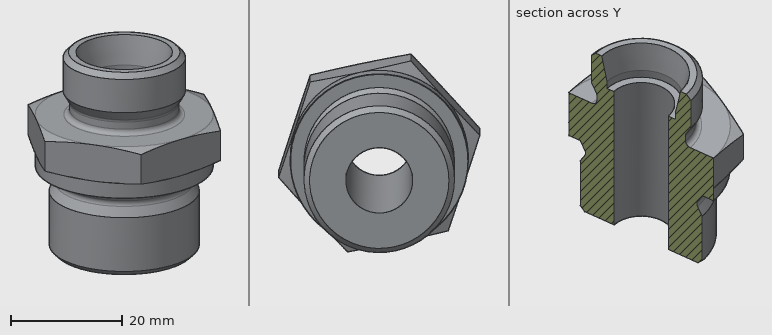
import cadquery as cq
import math

TOTAL_HEIGHT = 38.0
STUD_THREAD_TOP_Z = 11.35
COLLAR_BOTTOM_Z = 16.0
HEX_BOTTOM_Z = 19.0
HEX_TOP_Z = 26.0
TUBE_THREAD_BOTTOM_Z = 30.6

STUD_DIAMETER = 27.0
STUD_RELIEF_FILLET = 1.1
END_CHAMFER = 1.0

HEX_SIDES = 6
ACROSS_FLATS = 32.0
COLLAR_EDGE_CHAMFER = 0.1
HEX_CHAMFER_ANGLE = math.radians(15)

TUBE_END_DIAMETER = 22.0
NECK_DIAMETER = 19.7
NECK_FILLET = 1.0

RUNOUT_ANGLE = math.radians(30)

BORE_DIAMETER = 12.0
SOCKET_DIAMETER = 15.0
SOCKET_DEPTH = 7.0
CONE_MOUTH_DIAMETER = 17.3
CONE_HALF_ANGLE = math.radians(12)


def cylinder(diameter, bottom_z, top_z):
    return cq.Workplane("XY").workplane(offset=bottom_z).circle(diameter / 2).extrude(top_z - bottom_z)


def revolve_profile(profile):
    """Revolve a closed half-profile, drawn as (radius, z), about the Z axis."""
    return profile.close().revolve(360, (0, 0, 0), (0, 1, 0))


def stud_end():
    """Lower threaded end with its V-shaped relief, rounded at the root."""
    radius = STUD_DIAMETER / 2
    half_width = (COLLAR_BOTTOM_Z - STUD_THREAD_TOP_Z) / 2
    middle_z = STUD_THREAD_TOP_Z + half_width
    sharp_root_radius = radius - half_width * math.tan(RUNOUT_ANGLE)
    arc_center_radius = sharp_root_radius + STUD_RELIEF_FILLET / math.cos(RUNOUT_ANGLE)
    root_radius = arc_center_radius - STUD_RELIEF_FILLET
    tangent_radius = arc_center_radius - STUD_RELIEF_FILLET * math.cos(RUNOUT_ANGLE)
    tangent_rise = STUD_RELIEF_FILLET * math.sin(RUNOUT_ANGLE)
    return revolve_profile(
        cq.Workplane("XZ")
        .moveTo(0, 0)
        .lineTo(radius - END_CHAMFER, 0)
        .lineTo(radius, END_CHAMFER)
        .lineTo(radius, STUD_THREAD_TOP_Z)
        .lineTo(tangent_radius, middle_z - tangent_rise)
        .threePointArc((root_radius, middle_z), (tangent_radius, middle_z + tangent_rise))
        .lineTo(radius, COLLAR_BOTTOM_Z)
        .lineTo(0, COLLAR_BOTTOM_Z)
    )


def collar():
    """Round collar below the hexagon, its lower edge broken."""
    disc = cylinder(ACROSS_FLATS, COLLAR_BOTTOM_Z, HEX_BOTTOM_Z)
    return disc.faces("<Z").edges().chamfer(COLLAR_EDGE_CHAMFER)


def hexagon():
    """Hexagon with flats facing +X and -X, its corners cut conically at both ends."""
    corner_radius = ACROSS_FLATS / 2 / math.cos(math.pi / HEX_SIDES)
    prism = (
        cq.Workplane("XY")
        .workplane(offset=HEX_BOTTOM_Z)
        .polygon(HEX_SIDES, 2 * corner_radius)
        .extrude(HEX_TOP_Z - HEX_BOTTOM_Z)
        .rotate((0, 0, 0), (0, 0, 1), 180 / HEX_SIDES)
    )
    flat_radius = ACROSS_FLATS / 2
    corner_drop = (corner_radius - flat_radius) * math.tan(HEX_CHAMFER_ANGLE)
    envelope = revolve_profile(
        cq.Workplane("XZ")
        .moveTo(0, HEX_BOTTOM_Z)
        .lineTo(flat_radius, HEX_BOTTOM_Z)
        .lineTo(corner_radius, HEX_BOTTOM_Z + corner_drop)
        .lineTo(corner_radius, HEX_TOP_Z - corner_drop)
        .lineTo(flat_radius, HEX_TOP_Z)
        .lineTo(0, HEX_TOP_Z)
    )
    return prism.intersect(envelope)


def tube_end():
    """Upper threaded end on a neck that is filleted into the hexagon and the run-out."""
    radius = TUBE_END_DIAMETER / 2
    neck_radius = NECK_DIAMETER / 2
    runout_foot_z = TUBE_THREAD_BOTTOM_Z - (radius - neck_radius) / math.tan(RUNOUT_ANGLE)
    arc_start_z = runout_foot_z - NECK_FILLET * math.tan(RUNOUT_ANGLE / 2)
    arc_center_radius = neck_radius + NECK_FILLET

    def runout_arc_point(angle):
        return (
            arc_center_radius - NECK_FILLET * math.cos(angle),
            arc_start_z + NECK_FILLET * math.sin(angle),
        )

    foot_arc_inset = NECK_FILLET * (1 - math.sqrt(0.5))
    return revolve_profile(
        cq.Workplane("XZ")
        .moveTo(0, HEX_TOP_Z)
        .lineTo(arc_center_radius, HEX_TOP_Z)
        .threePointArc(
            (neck_radius + foot_arc_inset, HEX_TOP_Z + foot_arc_inset),
            (neck_radius, HEX_TOP_Z + NECK_FILLET),
        )
        .lineTo(neck_radius, arc_start_z)
        .threePointArc(runout_arc_point(RUNOUT_ANGLE / 2), runout_arc_point(RUNOUT_ANGLE))
        .lineTo(radius, TUBE_THREAD_BOTTOM_Z)
        .lineTo(radius, TOTAL_HEIGHT - END_CHAMFER)
        .lineTo(radius - END_CHAMFER, TOTAL_HEIGHT)
        .lineTo(0, TOTAL_HEIGHT)
    )


def bores():
    """Through bore, tube socket and the sealing cone at the upper mouth."""
    through_bore = cylinder(BORE_DIAMETER, 0, TOTAL_HEIGHT)
    socket = cylinder(SOCKET_DIAMETER, TOTAL_HEIGHT - SOCKET_DEPTH, TOTAL_HEIGHT)
    mouth_radius = CONE_MOUTH_DIAMETER / 2
    socket_radius = SOCKET_DIAMETER / 2
    cone_depth = (mouth_radius - socket_radius) / math.tan(CONE_HALF_ANGLE)
    cone = revolve_profile(
        cq.Workplane("XZ")
        .moveTo(0, TOTAL_HEIGHT)
        .lineTo(mouth_radius, TOTAL_HEIGHT)
        .lineTo(socket_radius, TOTAL_HEIGHT - cone_depth)
        .lineTo(0, TOTAL_HEIGHT - cone_depth)
    )
    return through_bore.union(socket).union(cone)


result = stud_end().union(collar()).union(hexagon()).union(tube_end()).cut(bores())